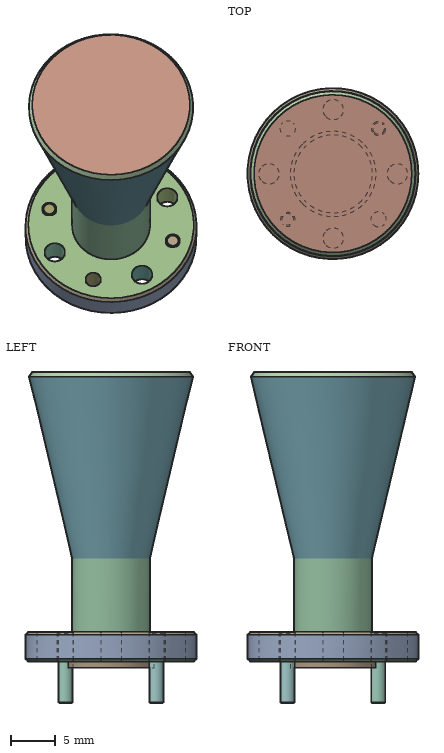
import cadquery as cq
import math

flange_diameter = 19.05
flange_thickness = 3.3
flange_chamfer = 0.32

boss_diameter = 9.525
boss_height = 0.7

neck_diameter = 8.7
neck_length = 8.2
total_height = 36.89
rim_diameter = 18.3
rim_chamfer_width = 0.38
rim_chamfer_height = 0.55

pitch_radius = 14.29 / 2
screw_hole_diameter = 2.26
screw_hole_angles = (0, 90, 180, 270)
dowel_hole_diameter = 1.7
dowel_hole_angles = (135, 315)

pin_diameter = 1.58
pin_projection = 4.65
pin_chamfer = 0.15
pin_angles = (45, 225)

neck_top = flange_thickness + neck_length
horn_top = total_height - pin_projection
rim_bottom = horn_top - rim_chamfer_height


def pitch_points(angles):
    """Points on the pitch circle at the given angles in degrees."""
    return [
        (pitch_radius * math.cos(math.radians(angle)), pitch_radius * math.sin(math.radians(angle)))
        for angle in angles
    ]


def make_flange_disc():
    """Round flange with both outer edges chamfered."""
    disc = cq.Workplane("XY").circle(flange_diameter / 2).extrude(flange_thickness)
    return disc.edges().chamfer(flange_chamfer)


def make_boss():
    """Shallow round boss below the flange."""
    return cq.Workplane("XY").circle(boss_diameter / 2).extrude(-boss_height)


def make_horn():
    """Straight neck that flares into a cone with a bevelled rim."""
    neck_radius = neck_diameter / 2
    rim_radius = rim_diameter / 2
    return (
        cq.Workplane("XZ")
        .moveTo(0, 0)
        .lineTo(neck_radius, 0)
        .lineTo(neck_radius, neck_top)
        .lineTo(rim_radius, rim_bottom)
        .lineTo(rim_radius - rim_chamfer_width, horn_top)
        .lineTo(0, horn_top)
        .close()
        .revolve(360, (0, 0, 0), (0, 1, 0))
    )


def make_hole_cutters(diameter, angles):
    """Cylinders through the flange thickness at the given angles."""
    return cq.Workplane("XY").pushPoints(pitch_points(angles)).circle(diameter / 2).extrude(flange_thickness)


def make_housing():
    """Flange, boss and horn in one piece, drilled for screws, dowels and pins."""
    housing = make_flange_disc().union(make_boss()).union(make_horn())
    housing = housing.cut(make_hole_cutters(screw_hole_diameter, screw_hole_angles))
    housing = housing.cut(make_hole_cutters(dowel_hole_diameter, dowel_hole_angles))
    return housing.cut(make_hole_cutters(pin_diameter, pin_angles))


def make_pin(center):
    """Dowel pin with both ends chamfered."""
    pin = cq.Workplane("XY").circle(pin_diameter / 2).extrude(flange_thickness + pin_projection)
    pin = pin.edges("%CIRCLE").chamfer(pin_chamfer)
    return pin.translate((*center, -pin_projection))


housing = make_housing()
pins = [make_pin(center) for center in pitch_points(pin_angles)]

result = cq.Compound.makeCompound([housing.val(), *[pin.val() for pin in pins]])